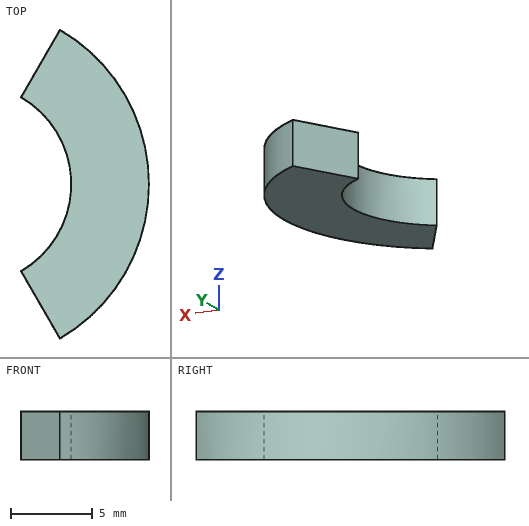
import cadquery as cq
import math

span = 19.05
inner_radius = 6.2
thickness = 3.0
sector_angle = 120.0

half_angle = math.radians(sector_angle / 2)
outer_radius = span / (2 * math.sin(half_angle))


def point_on_circle(radius, angle):
    """Point at an angle from the X axis, on a circle about the origin."""
    return (radius * math.cos(angle), radius * math.sin(angle))


result = (
    cq.Workplane("XY")
    .moveTo(*point_on_circle(outer_radius, -half_angle))
    .threePointArc((outer_radius, 0), point_on_circle(outer_radius, half_angle))
    .lineTo(*point_on_circle(inner_radius, half_angle))
    .threePointArc((inner_radius, 0), point_on_circle(inner_radius, -half_angle))
    .close()
    .extrude(thickness)
)